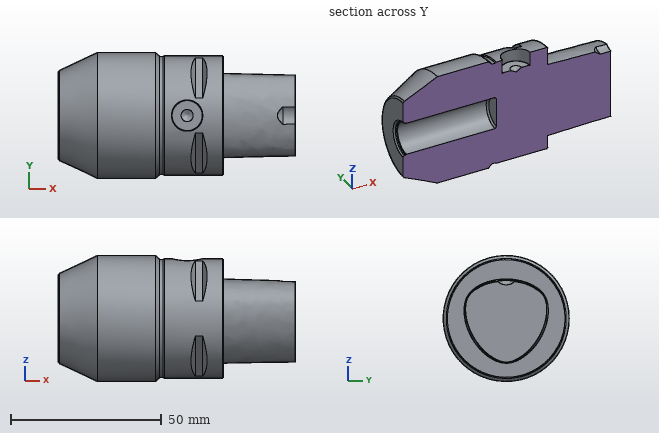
import cadquery as cq
import math

length = 79.0
nose_length = 12.65
sleeve_end = 32.9
flange_start = 35.0
flange_end = 55.1

face_radius = 14.45
nose_radius = 15.1
nose_edge = 0.5
sleeve_radius = 42.0 / 2
sleeve_edge = 0.4
groove_radius = 39.4 / 2
groove_slope = 0.95
flange_radius = 40.0 / 2
flange_edge = 0.4

bore_radius = 12.0 / 2
relief_radius = 12.5 / 2
mouth_radius = 13.6 / 2
floor_radius = 10.75 / 2
mouth_depth = 0.55
relief_depth = 1.0
bore_depth = 35.55

shank_root = (14.1, 0.9)
shank_tip = (13.5, 1.0)
lobes = 3
shank_points = 60

notch_half_width = 3.0
notch_sag = 1.3
notch_radius = (notch_half_width**2 + notch_sag**2) / (2 * notch_sag)
notch_length = 4.1
notch_cone_ratio = 1.3
notch_tip = notch_radius * notch_cone_ratio
notch_axis_height = shank_tip[0] - shank_tip[1] - notch_sag + notch_radius

slot_x = 46.9
slot_floor_distance = 17.6
slot_floor_width = 2.4
slot_rim_width = 5.4
slot_count = 4
slot_first_angle = 45.0

screw_x = 43.0
pocket_radius = 5.2
pocket_floor_height = 15.0
screw_face_radius = 10.0 / 2
screw_face_edge = 0.2
dimple_radius = 4.0 / 2
dimple_depth = 1.2


def revolve_about_x(points):
    """Turn a closed (axial, radial) outline about the X axis."""
    return cq.Workplane("XY").polyline(points).close().revolve(360, (0, 0, 0), (1, 0, 0))


def turned_body():
    return revolve_about_x([
        (0, 0),
        (0, face_radius),
        (nose_edge, nose_radius),
        (nose_length, sleeve_radius - sleeve_edge / 2),
        (nose_length + sleeve_edge, sleeve_radius),
        (sleeve_end - sleeve_edge, sleeve_radius),
        (sleeve_end, sleeve_radius - sleeve_edge),
        (sleeve_end + groove_slope, groove_radius),
        (flange_start, groove_radius),
        (flange_start + flange_edge, flange_radius),
        (flange_end - flange_edge, flange_radius),
        (flange_end, flange_radius - flange_edge),
        (flange_end, 0),
    ])


def lobed_point(angle, mean_radius, lobe_height):
    """Point of the constant-width trilobe, with one lobe pointing to -Z."""
    reach = mean_radius + lobe_height * math.sin(lobes * angle)
    slope = lobes * lobe_height * math.cos(lobes * angle)
    y = reach * math.cos(angle) - slope * math.sin(angle)
    z = reach * math.sin(angle) + slope * math.cos(angle)
    return (y, z)


def lobed_outline(section):
    step = 2 * math.pi / shank_points
    return [lobed_point(i * step, *section) for i in range(shank_points)]


def shank():
    return (
        cq.Workplane("YZ", origin=(flange_end, 0, 0))
        .spline(lobed_outline(shank_root), periodic=True).close()
        .workplane(offset=length - flange_end)
        .spline(lobed_outline(shank_tip), periodic=True).close()
        .loft(ruled=True)
    )


def front_bore():
    return revolve_about_x([
        (0, 0),
        (0, mouth_radius),
        (mouth_depth, relief_radius),
        (relief_depth, relief_radius),
        (relief_depth + relief_radius - bore_radius, bore_radius),
        (bore_depth - bore_radius + floor_radius, bore_radius),
        (bore_depth, floor_radius),
        (bore_depth, 0),
    ])


def shank_notch():
    start = length - notch_length
    outline = [
        (start - notch_tip, 0),
        (start, notch_radius),
        (length, notch_radius),
        (length, 0),
    ]
    return revolve_about_x(outline).translate((0, 0, notch_axis_height))


def gripper_slot(angle):
    """Flat-floored slot with flared sides, cut along a chord of the flange."""
    return (
        cq.Workplane("XZ")
        .polyline([
            (slot_x - slot_floor_width / 2, slot_floor_distance),
            (slot_x + slot_floor_width / 2, slot_floor_distance),
            (slot_x + slot_rim_width / 2, flange_radius),
            (slot_x - slot_rim_width / 2, flange_radius),
        ])
        .close()
        .extrude(flange_radius, both=True)
        .rotate((0, 0, 0), (1, 0, 0), angle)
    )


def screw_pocket():
    """Radial pocket whose floor is a chamfered screw face with a drill dimple."""
    return (
        cq.Workplane("XZ")
        .polyline([
            (0, pocket_floor_height - dimple_depth),
            (dimple_radius, pocket_floor_height),
            (screw_face_radius, pocket_floor_height),
            (pocket_radius, pocket_floor_height - screw_face_edge),
            (pocket_radius, sleeve_radius),
            (0, sleeve_radius),
        ])
        .close()
        .revolve(360, (0, 0, 0), (0, 1, 0))
        .translate((screw_x, 0, 0))
    )


result = turned_body().union(shank())
result = result.cut(front_bore()).cut(shank_notch()).cut(screw_pocket())
for index in range(slot_count):
    slot_angle = slot_first_angle + index * 360 / slot_count
    result = result.cut(gripper_slot(slot_angle))